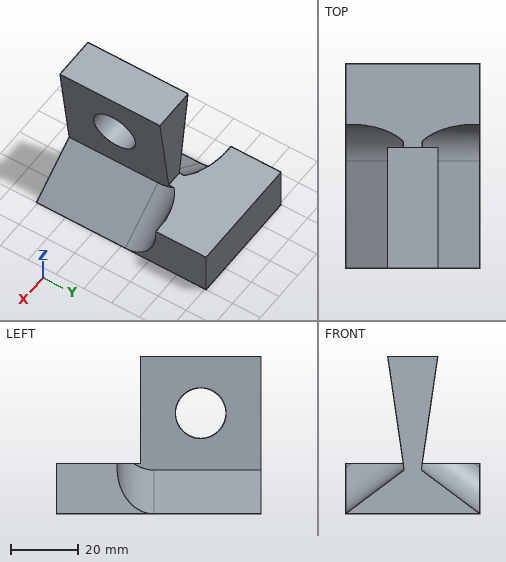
import cadquery as cq
import math

base_width = 40.1
base_length = 61.0
base_height = 15.0

total_height = 47.0
web_length = 36.0
web_top_width = 15.0
neck_width = 5.1
neck_height = 13.05

hole_diameter = 15.0
hole_height = 30.0

slope_length = 31.95
round_radius = 11.0

half_base = base_width / 2
half_neck = neck_width / 2
half_top = web_top_width / 2
web_flare = (half_top - half_neck) / (total_height - neck_height)
half_web_at_base_top = half_neck + web_flare * (base_height - neck_height)


def extrude_back(points, length):
    """Extrude an XZ outline from the front face toward +Y."""
    return cq.Workplane("XZ").polyline(points).close().extrude(-length)


def shoulder_cutter():
    """Material removed from the +X side of the base, beside the neck."""
    wedge = extrude_back(
        [
            (half_base, 0),
            (half_neck, neck_height),
            (half_web_at_base_top, base_height),
            (half_base, base_height),
        ],
        base_length,
    )
    slope_run = half_base - half_neck
    slope_plane = cq.Plane(
        origin=(half_base, 0, 0),
        xDir=(0, 1, 0),
        normal=(slope_run, 0, -neck_height),
    )
    arc_offset = round_radius * math.sqrt(0.5)
    arc_middle = (slope_length + arc_offset, round_radius - arc_offset)
    profile_end = slope_length + round_radius
    rounded_end = (
        cq.Workplane(slope_plane)
        .lineTo(slope_length, 0)
        .threePointArc(arc_middle, (profile_end, round_radius))
        .lineTo(profile_end, total_height)
        .lineTo(0, total_height)
        .close()
        .extrude(base_width, both=True)
    )
    return wedge.intersect(rounded_end)


base = cq.Workplane("XY").box(base_width, base_length, base_height, centered=(True, False, False))
web = extrude_back(
    [
        (-half_neck, neck_height),
        (half_neck, neck_height),
        (half_top, total_height),
        (-half_top, total_height),
    ],
    web_length,
)
hole = (
    cq.Workplane("YZ")
    .center(web_length / 2, hole_height)
    .circle(hole_diameter / 2)
    .extrude(base_width, both=True)
)

right_cutter = shoulder_cutter()
left_cutter = right_cutter.mirror("YZ")
result = base.cut(right_cutter).cut(left_cutter).union(web).cut(hole)